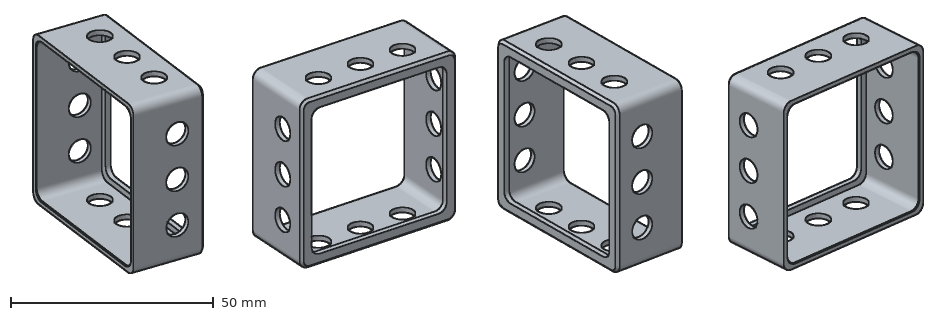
import cadquery as cq

side = 47.25
depth = 20.65
corner_radius = 2.5
back_chamfer = 0.75

wall = 1.45
cavity_radius = 2.5
lip_width = 1.7
lip_thickness = 1.55
window_radius = 2.5

mouth_bevel = 0.25

hole_diameter = 6.4
hole_pitch = 12.75
hole_from_back = 7.95
hole_count = 3

cavity_side = side - 2 * wall
window_side = cavity_side - 2 * lip_width
hole_y = depth - hole_from_back


def rounded_block(width, length, radius):
    """Square block with rounded corners, running from Y = 0 to Y = length."""
    block = cq.Workplane("XY").box(width, length, width, centered=(True, False, True))
    return block.edges("|Y").fillet(radius)


def frame():
    """Outer shell with its back bevel, stepped bore and bevelled mouth."""
    body = rounded_block(side, depth, corner_radius).faces(">Y").chamfer(back_chamfer)
    cavity = rounded_block(cavity_side, depth - lip_thickness, cavity_radius)
    window = rounded_block(window_side, depth, window_radius)
    mouth_side = cavity_side + 2 * mouth_bevel
    mouth = rounded_block(mouth_side, 2 * mouth_bevel, cavity_radius + mouth_bevel)
    mouth = mouth.faces(">Y").chamfer(mouth_bevel)
    mouth = mouth.translate((0, -mouth_bevel, 0))
    return body.cut(cavity).cut(window).cut(mouth)


def wall_holes():
    """Cylinders running right through the frame, along Z and along X."""
    first = -hole_pitch * (hole_count - 1) / 2
    positions = [first + i * hole_pitch for i in range(hole_count)]
    along_z = (
        cq.Workplane("XY")
        .pushPoints([(x, hole_y) for x in positions])
        .circle(hole_diameter / 2)
        .extrude(side, both=True)
    )
    along_x = along_z.rotate((0, 0, 0), (0, 1, 0), 90)
    return along_z, along_x


result = frame()
for hole_row in wall_holes():
    result = result.cut(hole_row)